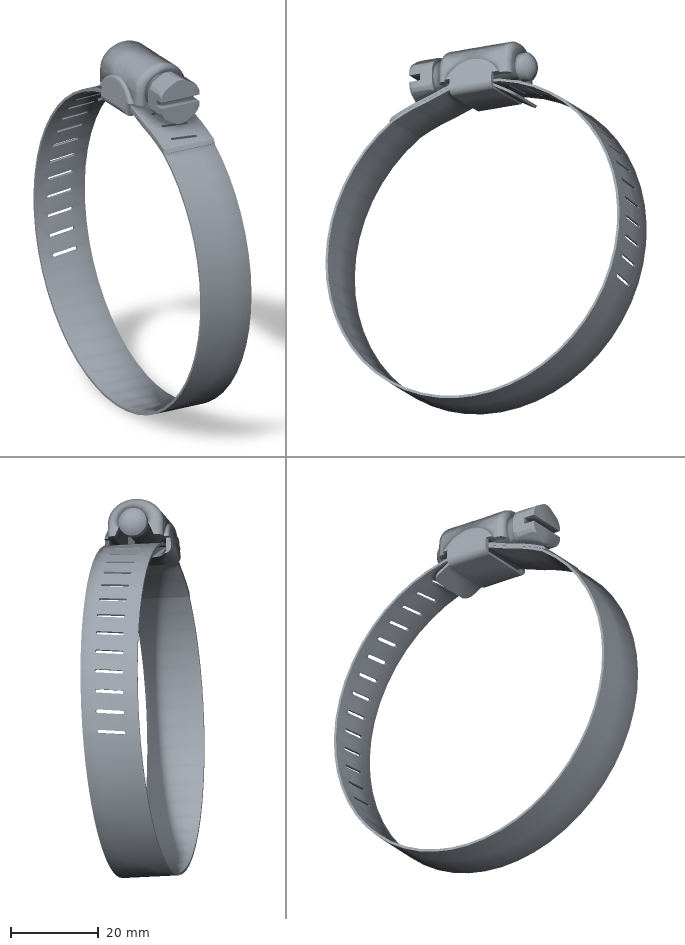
import cadquery as cq
import math


band_radius = 38.0
band_thickness = 0.6
band_width = 13.2
layer_pitch = 0.64
loop_radius = band_radius - band_thickness / 2
tail_end = (-10.3, 33.6)
tail_corner_radius = 2.15
tail_bend = (-4.6, 36.7)
outer_crest = (5.15, 37.95)
outer_bend = (12.0, 35.5)
outer_end = (21.6, 31.85)
overlap_bulge = 0.28
inner_join_x = 20.6
lift_x = -2.6
end_bevel = 0.95
tip_thickness = 0.1

slot_count = 21
slot_pitch = 4.6
slot_length = 6.6
slot_width = 0.8
slot_tilt = -6.0
last_slot_from_end = 3.2
slot_overcut = 0.02

housing_half_length = 9.3
housing_half_width = 6.4
housing_top = 47.8
arch_base = 42.2
housing_bottom = 39.0
end_round = 1.55
wall = 1.4
mouth_top_half_width = 3.35
mouth_bottom_half_width = 4.55

saddle_half_width = 7.8
strap_half_length = 5.4
strap_bottom = 35.3
strap_floor = 0.6
strap_bend_radius = 1.7
boss_half_chord = 7.0
boss_top = 43.35
face_slope = 0.12
boss_round = 0.8

screw_z = 41.6
tip_radius = 3.3
shaft_radius = 2.6
tip_x = -12.9
dome_height = 1.6
collar_radius = 4.55
head_x = 11.25
head_end_x = 17.2
head_across_flats = 10.1
head_turn = 30.0
head_corner_radius = 5.6
head_chamfer_length = 0.9
head_chamfer_depth = 0.215
driver_slot_width = 1.55
driver_slot_depth = 2.8


def on_circle(radius, x):
    """Point of the upper half of a circle about the band axis."""
    return (x, math.sqrt(radius**2 - x**2))


def beside(point, start, end, distance):
    """Point at a distance to the left of a line's direction, measured square to it."""
    run = end[0] - start[0]
    rise = end[1] - start[1]
    length = math.hypot(run, rise)
    return (point[0] - distance * rise / length, point[1] + distance * run / length)


def line(start, end):
    return cq.Edge.makeLine(cq.Vector(start[0], 0, start[1]), cq.Vector(end[0], 0, end[1]))


def arc(start, middle, end):
    points = [cq.Vector(x, 0, z) for x, z in (start, middle, end)]
    return cq.Edge.makeThreePointArc(*points)


def band_centreline():
    """Edges from the inner tail, around the loop, to the outer end."""
    lift = on_circle(loop_radius, lift_x)
    chord_middle = ((outer_bend[0] + outer_end[0]) / 2, (outer_bend[1] + outer_end[1]) / 2)
    outer_middle = beside(chord_middle, outer_bend, outer_end, overlap_bulge)
    inner_middle = beside(chord_middle, outer_bend, outer_end, overlap_bulge - layer_pitch)
    inner_crest = beside(outer_crest, lift, outer_bend, -layer_pitch)
    inner_bend = beside(outer_bend, outer_crest, outer_bend, -layer_pitch)
    inner_join = on_circle(loop_radius, inner_join_x)
    return [
        line(tail_end, tail_bend),
        line(tail_bend, inner_crest),
        line(inner_crest, inner_bend),
        arc(inner_bend, inner_middle, inner_join),
        arc(inner_join, (0, -loop_radius), lift),
        line(lift, outer_crest),
        line(outer_crest, outer_bend),
        arc(outer_bend, outer_middle, outer_end),
    ]


def left_normal(edge, place):
    """Unit normal in the XZ plane at a fraction of an edge's length."""
    tangent = edge.tangentAt(place)
    return cq.Vector(-tangent.z, 0, tangent.x)


def offset_edges(edges, distance):
    """Chain of edges beside a centreline, with mitred corners."""
    corners = [edges[0].positionAt(0) + left_normal(edges[0], 0) * distance]
    for before, after in zip(edges, edges[1:]):
        normal_in = left_normal(before, 1)
        normal_out = left_normal(after, 0)
        mitre = (normal_in + normal_out) * (distance / (1 + normal_in.dot(normal_out)))
        corners.append(before.positionAt(1) + mitre)
    corners.append(edges[-1].positionAt(1) + left_normal(edges[-1], 1) * distance)

    chain = []
    for edge, start, end in zip(edges, corners, corners[1:]):
        if edge.geomType() == "LINE":
            chain.append(cq.Edge.makeLine(start, end))
        else:
            middle = edge.positionAt(0.5) + left_normal(edge, 0.5) * distance
            chain.append(cq.Edge.makeThreePointArc(start, middle, end))
    return chain


def band_strip(edges):
    """The plain strip, full width, along the centreline."""
    left_side = offset_edges(edges, band_thickness / 2)
    right_side = offset_edges(edges, -band_thickness / 2)
    tail_cap = cq.Edge.makeLine(right_side[0].startPoint(), left_side[0].startPoint())
    end_cap = cq.Edge.makeLine(left_side[-1].endPoint(), right_side[-1].endPoint())
    outline = cq.Wire.assembleEdges(left_side + [end_cap] + right_side[::-1] + [tail_cap])
    face = cq.Face.makeFromWires(outline).translate(cq.Vector(0, -band_width / 2, 0))
    return cq.Workplane(cq.Solid.extrudeLinear(face, cq.Vector(0, band_width, 0)))


def tip_wedge(end_edge):
    """Wedge that thins the outer end from its upper side."""
    tip_plane = cq.Plane(
        origin=end_edge.positionAt(1),
        xDir=end_edge.tangentAt(1),
        normal=(0, -1, 0),
    )
    return (
        cq.Workplane(tip_plane)
        .moveTo(-end_bevel, band_thickness / 2)
        .lineTo(0, -band_thickness / 2 + tip_thickness)
        .lineTo(band_thickness, -band_thickness / 2 + tip_thickness)
        .lineTo(band_thickness, band_thickness)
        .lineTo(-end_bevel, band_thickness)
        .close()
        .extrude(band_width / 2, both=True)
    )


def slot_cutter(path_wire, place):
    """One tilted slot, square to the band at a fraction of its centreline's length."""
    tangent = path_wire.tangentAt(place)
    normal = tangent.cross(cq.Vector(0, 1, 0))
    plane = cq.Plane(origin=path_wire.positionAt(place), xDir=(0, 1, 0), normal=normal)
    return (
        cq.Workplane(plane)
        .transformed(rotate=(0, 0, slot_tilt))
        .slot2D(slot_length, slot_width)
        .extrude(band_thickness / 2 + slot_overcut, both=True)
    )


def make_band():
    centreline = band_centreline()
    path_wire = cq.Wire.assembleEdges(centreline)
    path_length = path_wire.Length()
    band = (
        band_strip(centreline)
        .faces(cq.NearestToPointSelector((tail_end[0], 0, tail_end[1])))
        .edges("not |Y")
        .fillet(tail_corner_radius)
        .cut(tip_wedge(centreline[-1]))
    )
    for index in range(slot_count):
        distance = path_length - last_slot_from_end - index * slot_pitch
        band = band.cut(slot_cutter(path_wire, distance / path_length))
    return band


def arch_block(half_width, top, half_length):
    """Upright walls closed by a half ellipse, centred lengthwise."""
    return (
        cq.Workplane("YZ", origin=(-half_length, 0, 0))
        .moveTo(-half_width, housing_bottom)
        .lineTo(-half_width, arch_base)
        .ellipseArc(half_width, top - arch_base, 0, 180, startAtCurrent=True, sense=-1)
        .lineTo(half_width, housing_bottom)
        .close()
        .extrude(2 * half_length)
    )


def make_saddle():
    """Strap below the band with a segment-shaped boss on each side, the outer faces leaning inward."""
    saddle = (
        cq.Workplane("XZ", origin=(0, saddle_half_width, 0))
        .moveTo(-strap_half_length, strap_bottom)
        .lineTo(-strap_half_length, housing_bottom)
        .lineTo(-boss_half_chord, housing_bottom)
        .threePointArc((0, boss_top), (boss_half_chord, housing_bottom))
        .lineTo(strap_half_length, housing_bottom)
        .lineTo(strap_half_length, strap_bottom)
        .close()
        .extrude(2 * saddle_half_width)
    )
    bend_top = strap_bottom + strap_bend_radius
    bend_half_width = saddle_half_width - strap_bend_radius
    top_half_width = saddle_half_width - face_slope * (boss_top - bend_top)
    bend_reach = strap_bend_radius * math.sqrt(0.5)
    bend_middle_y = bend_half_width + bend_reach
    bend_middle_z = bend_top - bend_reach
    lean = (
        cq.Workplane("YZ", origin=(-boss_half_chord, 0, 0))
        .moveTo(-bend_half_width, strap_bottom)
        .threePointArc((-bend_middle_y, bend_middle_z), (-saddle_half_width, bend_top))
        .lineTo(-top_half_width, boss_top)
        .lineTo(top_half_width, boss_top)
        .lineTo(saddle_half_width, bend_top)
        .threePointArc((bend_middle_y, bend_middle_z), (bend_half_width, strap_bottom))
        .close()
        .extrude(2 * boss_half_chord)
    )
    channel = (
        cq.Workplane("XY", origin=(0, 0, strap_bottom + strap_floor))
        .rect(2 * boss_half_chord, band_width)
        .extrude(housing_bottom - strap_bottom - strap_floor)
    )
    return saddle.intersect(lean).edges("%ELLIPSE").fillet(boss_round).cut(channel)


def make_housing():
    shell = (
        arch_block(housing_half_width, housing_top, housing_half_length)
        .faces("<X or >X")
        .edges("not <Z")
        .fillet(end_round)
    )
    cavity = arch_block(housing_half_width - wall, housing_top - wall, housing_half_length - wall)
    shaft_hole = (
        cq.Workplane("YZ", origin=(0, 0, screw_z))
        .circle(shaft_radius)
        .extrude(housing_half_length, both=True)
    )
    mouth = (
        cq.Workplane("YZ")
        .moveTo(-mouth_top_half_width, screw_z)
        .lineTo(mouth_top_half_width, screw_z)
        .lineTo(mouth_bottom_half_width, housing_bottom)
        .lineTo(-mouth_bottom_half_width, housing_bottom)
        .close()
        .extrude(housing_half_length, both=True)
    )
    return (
        shell.union(make_saddle())
        .cut(cavity)
        .cut(shaft_hole)
        .cut(mouth)
    )


def make_head():
    """Hexagon with turned-down corners and a driver slot."""
    head_length = head_end_x - head_x
    end_radius = head_corner_radius - head_chamfer_depth
    hexagon = (
        cq.Workplane("YZ", origin=(head_x, 0, screw_z))
        .polygon(6, head_across_flats / math.cos(math.pi / 6))
        .extrude(head_length)
        .rotate((0, 0, screw_z), (1, 0, screw_z), head_turn)
    )
    turned = (
        cq.Workplane("XZ")
        .moveTo(head_x, screw_z)
        .lineTo(head_x, screw_z + end_radius)
        .lineTo(head_x + head_chamfer_length, screw_z + head_corner_radius)
        .lineTo(head_end_x - head_chamfer_length, screw_z + head_corner_radius)
        .lineTo(head_end_x, screw_z + end_radius)
        .lineTo(head_end_x, screw_z)
        .close()
        .revolve(360, (0, screw_z, 0), (1, screw_z, 0))
    )
    driver_slot = (
        cq.Workplane("XY", origin=(head_end_x, 0, screw_z))
        .box(2 * driver_slot_depth, 2 * head_corner_radius, driver_slot_width)
    )
    return hexagon.intersect(turned).cut(driver_slot)


def make_screw():
    dome_radius = (tip_radius**2 + dome_height**2) / (2 * dome_height)
    half_angle = math.asin(tip_radius / dome_radius) / 2
    dome_middle = (
        tip_x + dome_radius * (1 - math.cos(half_angle)),
        screw_z + dome_radius * math.sin(half_angle),
    )
    shaft = (
        cq.Workplane("XZ")
        .moveTo(tip_x, screw_z)
        .threePointArc(dome_middle, (tip_x + dome_height, screw_z + tip_radius))
        .lineTo(-housing_half_length, screw_z + tip_radius)
        .lineTo(-housing_half_length, screw_z + shaft_radius)
        .lineTo(housing_half_length, screw_z + shaft_radius)
        .lineTo(housing_half_length, screw_z + collar_radius)
        .lineTo(head_x, screw_z + collar_radius)
        .lineTo(head_x, screw_z)
        .close()
        .revolve(360, (0, screw_z, 0), (1, screw_z, 0))
    )
    return shaft.union(make_head())


band = make_band()
housing = make_housing()
screw = make_screw()
result = cq.Compound.makeCompound([band.val(), housing.val(), screw.val()])